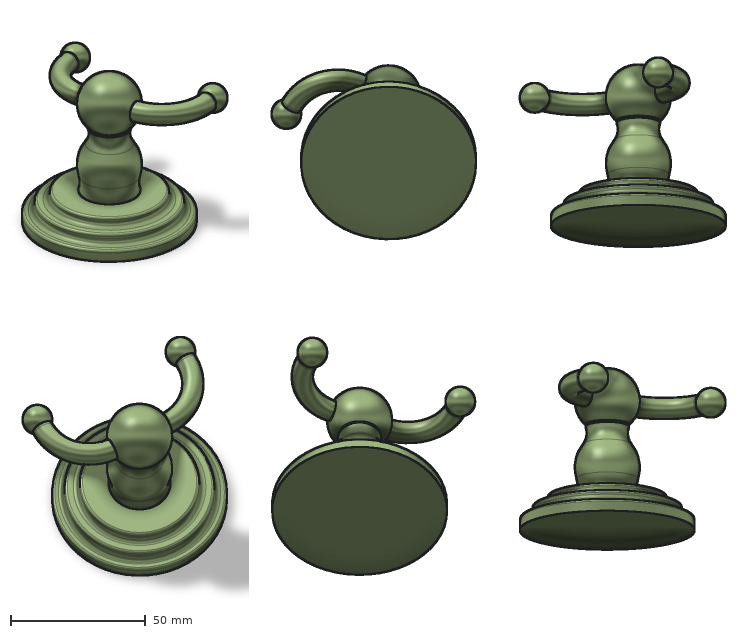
import cadquery as cq
import math

edge_round = 1.0
disc_radius = 32.5
disc_top = 4.7
middle_radius = 27.85
middle_top = 9.15
upper_radius = 22.2
base_top = 13.1
middle_cove_start = 7.35
middle_cove_foot = 30.15
upper_cove_start = 11.4
upper_cove_foot = 24.65

foot_radius = 11.6
foot_neck_radius = 11.1
foot_neck_height = 16.65
bulge_start_radius = 11.5
bulge_start_height = 19.6
bulge_radius = 12.15
bulge_height = 23.85
bulge_end_radius = 9.1
bulge_end_height = 32.65
waist_radius = 7.7
waist_height = 36.6
collar_radius = 8.15
collar_height = 39.4

head_radius = 12.15
overall_height = 61.5
head_height = overall_height - head_radius
head_joint_radius = 8.0
head_joint_height = head_height - math.sqrt(head_radius**2 - head_joint_radius**2)

overall_width = 71.45
arm_radius = 4.0
bend_radius = 19.15
tip_radius = 5.6
tip_x = overall_width / 2 - tip_radius
tip_y = 24.1


def rounded_rim(profile, radius, top):
    """Draw a tier wall up to its top, ending with a rounded edge."""
    corner = edge_round * math.sqrt(0.5)
    return (
        profile.lineTo(radius, top - edge_round)
        .threePointArc(
            (radius - edge_round + corner, top - edge_round + corner),
            (radius - edge_round, top),
        )
    )


def cove(profile, foot, foot_height, radius, start_height):
    """Draw a concave arc from the lower tier up to a wall."""
    run = (foot - radius) * (1 - math.sqrt(0.5))
    rise = (start_height - foot_height) * (1 - math.sqrt(0.5))
    return (
        profile.lineTo(foot, foot_height)
        .threePointArc((radius + run, foot_height + rise), (radius, start_height))
    )


def make_base():
    profile = cq.Workplane("XZ").lineTo(disc_radius, 0)
    profile = rounded_rim(profile, disc_radius, disc_top)
    profile = cove(profile, middle_cove_foot, disc_top, middle_radius, middle_cove_start)
    profile = rounded_rim(profile, middle_radius, middle_top)
    profile = cove(profile, upper_cove_foot, middle_top, upper_radius, upper_cove_start)
    profile = rounded_rim(profile, upper_radius, base_top)
    return profile.lineTo(0, base_top).close().revolve(360, (0, 0, 0), (0, 1, 0))


def make_post():
    return (
        cq.Workplane("XZ")
        .lineTo(foot_radius, 0)
        .lineTo(foot_radius, base_top)
        .threePointArc((foot_neck_radius, foot_neck_height), (bulge_start_radius, bulge_start_height))
        .threePointArc((bulge_radius, bulge_height), (bulge_end_radius, bulge_end_height))
        .threePointArc((waist_radius, waist_height), (collar_radius, collar_height))
        .lineTo(head_joint_radius, head_joint_height)
        .lineTo(0, head_height)
        .close()
        .revolve(360, (0, 0, 0), (0, 1, 0))
    )


def ball(radius, x, y):
    return cq.Workplane("XY").sphere(radius).translate((x, y, head_height))


def make_arm():
    """Build the +X arm: out of the head, around a quarter bend, into its ball."""
    bend_x = tip_x - bend_radius
    bend_offset = bend_radius * math.sqrt(0.5)
    path = (
        cq.Workplane("XY", origin=(0, 0, head_height))
        .lineTo(bend_x, 0)
        .threePointArc((bend_x + bend_offset, bend_radius - bend_offset), (tip_x, bend_radius))
        .lineTo(tip_x, tip_y)
    )
    rod = cq.Workplane("YZ", origin=(0, 0, head_height)).circle(arm_radius).sweep(path)
    return rod.union(ball(tip_radius, tip_x, tip_y))


arm = make_arm()
result = make_base().union(make_post()).union(ball(head_radius, 0, 0))
for side_arm in (arm, arm.mirror("YZ")):
    result = result.union(side_arm)